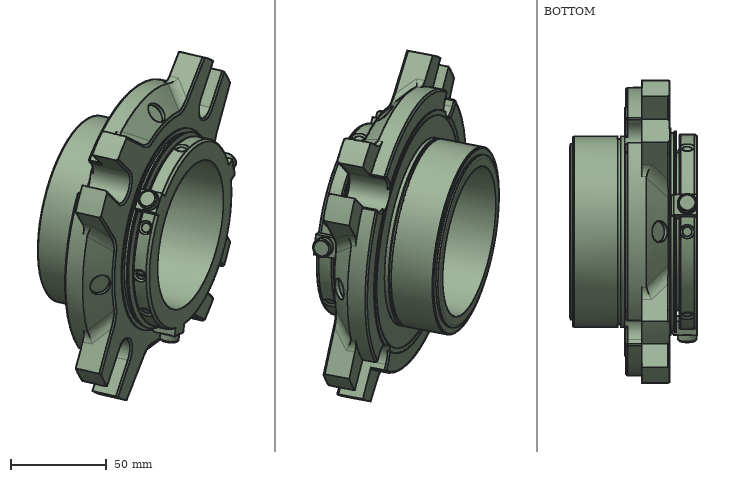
import cadquery as cq
import math


sleeve_step_x = 1.6
groove_start_x = 25.0
groove_end_x = 26.5
gasket_x = 28.6
gland_front_x = 29.3
finger_front_x = 37.7
cone_start_x = 40.0
gland_back_x = 52.2
lip_end_x = 52.8
ring_start_x = 54.3
ring_end_x = 55.7
collar_start_x = 57.1
back_x = 66.6

bore_radius = 40.0
nose_radius = 46.0
nose_face_radius = 44.3
nose_edge_length = 0.5
sleeve_radius = 50.0
sleeve_edge = 0.6
groove_radius = 48.5
neck_radius = 41.3
lip_radius = 54.1
seat_radius = 51.7
ring_radius = 52.5
ring_edge = 0.6

gland_radius = 75.5
gland_edge = 1.0
slot_mouth_edge = 0.8
cone_end_radius = gland_radius - (gland_back_x - cone_start_x)
gasket_outer_radius = 64.7
gasket_inner_radius = 62.0
gasket_face_step = 0.2
gasket_depth = 3.2

slot_count = 4
first_slot_angle = 45
slot_angles = [first_slot_angle + 360 / slot_count * i for i in range(slot_count)]
slot_width = 17.1
slot_center_radius = 71.0
half_span = 79.1
tip_radius = 91.9
finger_flare = math.radians(8)
finger_root_radius = 47.5
finger_fillet = 6.3
root_reach = 71.2
finger_edge = 1.0

port_count = 4
port_diameter = 11.2
port_depth = 2.2
port_x = 47.0

collar_radius = 51.0
collar_front_edge_length = 1.0
collar_front_edge_depth = 0.5
collar_back_edge_length = 1.6
collar_back_edge_depth = 1.0
screw_x = 61.4
screw_angles = [30, 90, 150, 180, 210, 270, 330]
driven_screw_angle = 180
screw_hole_diameter = 7.5
screw_diameter = 4.9
screw_recess = 1.1
drive_slot_width = 0.8
drive_slot_depth = 0.8

clip_angles = [15, 135, 255]
clip_start_x = 53.2
clip_width = 11.0
clip_outer_radius = 54.4
clip_bevel = 1.3
clip_leg_radius = 47.0
head_diameter = 10.0
head_top_radius = 58.9
head_edge = 0.8


def turned(points):
    """Solid of revolution about X from (x, radius) points."""
    return cq.Workplane("XY").polyline(points).close().revolve(360, (0, 0, 0), (1, 0, 0))


def turned_about_y(points):
    """Solid of revolution about the collar screw axis from (radius, y) points."""
    profile = cq.Workplane("XY", origin=(screw_x, 0, 0)).polyline(points).close()
    return profile.revolve(360, (0, 0, 0), (0, 1, 0))


def around_x(shape, angle):
    """Turn a shape about the X axis; 0 degrees is +Y and 90 degrees is +Z."""
    return shape.rotate((0, 0, 0), (1, 0, 0), angle)


def make_sleeve():
    return turned([
        (0, 0),
        (0, nose_face_radius),
        (nose_edge_length, nose_radius),
        (sleeve_step_x, nose_radius),
        (sleeve_step_x, sleeve_radius - sleeve_edge),
        (sleeve_step_x + sleeve_edge, sleeve_radius),
        (groove_start_x, sleeve_radius),
        (groove_start_x, groove_radius),
        (groove_end_x, groove_radius),
        (groove_end_x, sleeve_radius),
        (gland_back_x, sleeve_radius),
        (gland_back_x, lip_radius),
        (lip_end_x, lip_radius),
        (lip_end_x, seat_radius),
        (ring_start_x, seat_radius),
        (ring_start_x, ring_radius - ring_edge),
        (ring_start_x + ring_edge, ring_radius),
        (ring_end_x, ring_radius),
        (ring_end_x, neck_radius),
        (collar_start_x, neck_radius),
        (collar_start_x, collar_radius - collar_front_edge_depth),
        (collar_start_x + collar_front_edge_length, collar_radius),
        (back_x - collar_back_edge_length, collar_radius),
        (back_x, collar_radius - collar_back_edge_depth),
        (back_x, 0),
    ])


def make_finger_pair():
    """Tapered block with an arc tip, along +Y; its slot is cut later."""
    corner_angle = math.radians(first_slot_angle) - math.acos(half_span / tip_radius)
    tip_x = tip_radius * math.cos(corner_angle)
    tip_half_width = tip_radius * math.sin(corner_angle)
    root_half_width = tip_half_width + (tip_x - finger_root_radius) * math.tan(finger_flare)
    return (
        cq.Workplane("YZ", origin=(finger_front_x, 0, 0))
        .moveTo(finger_root_radius, -root_half_width)
        .lineTo(tip_x, -tip_half_width)
        .threePointArc((tip_radius, 0), (tip_x, tip_half_width))
        .lineTo(finger_root_radius, root_half_width)
        .close()
        .extrude(gland_back_x - finger_front_x)
    )


def make_slot():
    length = tip_radius - slot_center_radius + slot_width
    straight = cq.Workplane("XY").box(back_x, length, slot_width, centered=(False, False, True))
    straight = straight.translate((0, slot_center_radius, 0))
    end = cq.Workplane("YZ").center(slot_center_radius, 0).circle(slot_width / 2).extrude(gland_back_x)
    return straight.union(end)


def make_gland():
    body = turned([
        (gland_front_x, 0),
        (gland_front_x, gland_radius),
        (cone_start_x, gland_radius),
        (gland_back_x, cone_end_radius),
        (gland_back_x, 0),
    ])
    for angle in slot_angles:
        body = body.union(around_x(make_finger_pair(), angle))

    root_box = cq.selectors.BoxSelector(
        (finger_front_x, -root_reach, -root_reach), (gland_back_x, root_reach, root_reach)
    )
    root_edges = body.edges("|X or %HYPERBOLA").edges(root_box)
    body = body.newObject(root_edges.vals()).fillet(finger_fillet)

    for angle in slot_angles:
        body = body.cut(around_x(make_slot(), angle))
    mouth_edges = [
        edge for edge in body.edges("|X").vals()
        if edge.BoundingBox().xmax < cone_start_x
        and math.isclose(math.hypot(edge.Center().y, edge.Center().z), gland_radius)
        and not math.isclose(edge.Center().y, gland_radius)
    ]
    body = body.newObject(mouth_edges).chamfer(slot_mouth_edge)
    body = body.faces("<X").edges().chamfer(gland_edge)

    body = body.faces(">X").edges("%LINE").chamfer(finger_edge)

    for i in range(port_count):
        body = body.cut(around_x(make_port(), 360 / port_count * i))
    return body


def make_port():
    """Blind cutter square to the 45 degree cone, along +Y."""
    radius_at_port = gland_radius - (port_x - cone_start_x)
    axis = cq.Vector(1, 1, 0).normalized()
    mouth = cq.Vector(port_x, radius_at_port, 0)
    cutter = cq.Solid.makeCylinder(
        port_diameter / 2, 2 * port_depth, mouth - axis * port_depth, axis
    )
    return cq.Workplane("XY").add(cutter)


def make_gasket():
    """Proud gasket ring in the front of the gland, opened by the bolt slots."""
    gasket = turned([
        (gasket_x + gasket_face_step, 0),
        (gasket_x + gasket_face_step, gasket_inner_radius),
        (gasket_x, gasket_inner_radius),
        (gasket_x, gasket_outer_radius),
        (gasket_x + gasket_depth, gasket_outer_radius),
        (gasket_x + gasket_depth, 0),
    ])
    for angle in slot_angles:
        gasket = gasket.cut(around_x(make_slot(), angle))
    return gasket


def make_screw_recess():
    """Countersunk recess down to the set screw face, along +Y; it runs on past the collar."""
    cutter_top_radius = screw_hole_diameter - screw_diameter / 2
    return turned_about_y([
        (0, collar_radius - screw_recess),
        (screw_diameter / 2, collar_radius - screw_recess),
        (cutter_top_radius, collar_radius + screw_recess),
        (0, collar_radius + screw_recess),
    ])


def make_drive_slot():
    slot_top = collar_radius
    slot_bottom = collar_radius - screw_recess - drive_slot_depth
    return (
        cq.Workplane("XY")
        .box(screw_diameter, slot_top - slot_bottom, drive_slot_width)
        .translate((screw_x, (slot_top + slot_bottom) / 2, 0))
    )


def make_clip():
    """Setting clip along +Y: plate over the collar, leg in the gap and a screw head."""
    outline = [
        (back_x, clip_leg_radius),
        (ring_end_x, clip_leg_radius),
        (ring_end_x, collar_radius),
        (clip_start_x, collar_radius),
        (clip_start_x, clip_outer_radius - clip_bevel),
        (clip_start_x + clip_bevel, clip_outer_radius),
        (back_x, clip_outer_radius),
    ]
    plate = cq.Workplane("XY").polyline(outline).close().extrude(clip_width / 2, both=True)
    head = turned_about_y([
        (0, clip_leg_radius),
        (head_diameter / 2, clip_leg_radius),
        (head_diameter / 2, head_top_radius - head_edge),
        (head_diameter / 2 - head_edge, head_top_radius),
        (0, head_top_radius),
    ])
    return plate.union(head)


result = make_sleeve().union(make_gland()).union(make_gasket())
for angle in clip_angles:
    result = result.union(around_x(make_clip(), angle))
for angle in screw_angles:
    result = result.cut(around_x(make_screw_recess(), angle))
result = result.cut(around_x(make_drive_slot(), driven_screw_angle))
bore = cq.Workplane("YZ").circle(bore_radius).extrude(back_x)
result = result.cut(bore)